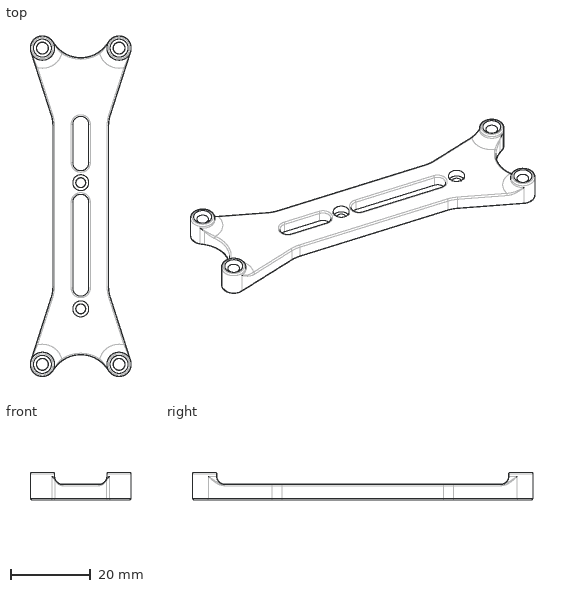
import cadquery as cq
import math

LENGTH = 85.3
WIDTH = 25.3
BOSS_HEIGHT = 7.0
PLATE_THICKNESS = 4.0
EDGE_BREAK = 0.4

TOLERANCE = 0.01

BOSS_DIAMETER = 6.1
BOSS_RADIUS = BOSS_DIAMETER / 2
BOSS_X = WIDTH / 2 - BOSS_RADIUS
BOSS_Y = LENGTH / 2 - BOSS_RADIUS
BOSS_HOLE_DIAMETER = 2.9
BOSS_MOUTH_CHAMFER = 0.8
BOSS_FILLET = 2.0

WAIST_HALF_WIDTH = 7.0
WAIST_CORNER_Y = 21.5
WAIST_BLEND_RADIUS = 8.0
END_CUTOUT_RADIUS = 8.0
END_CUTOUT_BOTTOM_Y = 37.2

SLOT_WIDTH = 4.0
SLOT_FLOOR_Z = 1.0
SLOT_CENTRE_RANGES = [(10.9, 20.5), (-20.5, 1.0)]
SCREW_HOLE_DIAMETER = 2.4
SCREW_COUNTERBORE_DIAMETER = 4.0
SCREW_COUNTERBORE_FLOOR_Z = 2.0
SCREW_HOLE_YS = [5.9, -25.7]

BOSS_CENTRES = [(sx * BOSS_X, sy * BOSS_Y) for sx in (1, -1) for sy in (1, -1)]


def polar(centre, radius, angle):
    """Point at the given radius and angle (radians) around a centre."""
    return (centre[0] + radius * math.cos(angle), centre[1] + radius * math.sin(angle))


def quarter_points():
    """Key points of the outline in the +X +Y quarter, from the waist to the end cutout."""
    boss = (BOSS_X, BOSS_Y)

    dx = BOSS_X - WAIST_HALF_WIDTH
    dy = BOSS_Y - WAIST_CORNER_Y
    flank = math.atan2(dy, dx) - math.asin(BOSS_RADIUS / math.hypot(dx, dy))
    flank_end = polar(boss, BOSS_RADIUS, flank - math.pi / 2)

    turn = math.pi / 2 - flank
    setback = WAIST_BLEND_RADIUS * math.tan(turn / 2)
    corner = (WAIST_HALF_WIDTH, WAIST_CORNER_Y)
    blend_centre = (WAIST_HALF_WIDTH + WAIST_BLEND_RADIUS, WAIST_CORNER_Y - setback)
    blend_start = (WAIST_HALF_WIDTH, blend_centre[1])
    blend_mid = polar(blend_centre, WAIST_BLEND_RADIUS, math.pi - turn / 2)
    blend_end = polar(corner, setback, flank)

    cutout = (0, END_CUTOUT_BOTTOM_Y + END_CUTOUT_RADIUS)
    to_cutout = math.atan2(cutout[1] - BOSS_Y, -BOSS_X)
    centre_distance = math.hypot(BOSS_X, cutout[1] - BOSS_Y)
    lean = math.acos((BOSS_RADIUS + END_CUTOUT_RADIUS) / centre_distance)
    tangent_normal = to_cutout - lean
    boss_end = polar(boss, BOSS_RADIUS, tangent_normal)
    cutout_start = polar(cutout, END_CUTOUT_RADIUS, tangent_normal + math.pi)
    boss_mid = polar(boss, BOSS_RADIUS, (flank - math.pi / 2 + tangent_normal) / 2)
    cutout_bottom = 1.5 * math.pi
    cutout_mid = polar(cutout, END_CUTOUT_RADIUS, (tangent_normal + math.pi + cutout_bottom) / 2)
    return blend_start, blend_mid, blend_end, flank_end, boss_mid, boss_end, cutout_start, cutout_mid


def quarter_outline():
    """Closed outline of the +X +Y quarter: waist, flared flank, boss round and half the end cutout."""
    (
        blend_start,
        blend_mid,
        blend_end,
        flank_end,
        boss_mid,
        boss_end,
        cutout_start,
        cutout_mid,
    ) = quarter_points()
    return (
        cq.Workplane("XY")
        .lineTo(WAIST_HALF_WIDTH, 0)
        .lineTo(*blend_start)
        .threePointArc(blend_mid, blend_end)
        .lineTo(*flank_end)
        .threePointArc(boss_mid, boss_end)
        .lineTo(*cutout_start)
        .threePointArc(cutout_mid, (0, END_CUTOUT_BOTTOM_Y))
        .close()
    )


def flared_boss():
    """+X +Y boss with a concave fillet flaring out onto the plate, trimmed to the outline."""
    flare_radius = BOSS_RADIUS + BOSS_FILLET
    flare_top = PLATE_THICKNESS + BOSS_FILLET
    sag = BOSS_FILLET * (1 - math.sqrt(0.5))
    profile = (
        cq.Workplane("XZ")
        .lineTo(flare_radius, 0)
        .lineTo(flare_radius, PLATE_THICKNESS)
        .threePointArc((BOSS_RADIUS + sag, PLATE_THICKNESS + sag), (BOSS_RADIUS, flare_top))
        .lineTo(BOSS_RADIUS, BOSS_HEIGHT)
        .lineTo(0, BOSS_HEIGHT)
        .close()
    )
    boss = profile.revolve(360, (0, 0, 0), (0, 1, 0)).translate((BOSS_X, BOSS_Y, 0))
    return boss.intersect(quarter_outline().extrude(BOSS_HEIGHT))


def is_on_symmetry_plane(edge):
    """True for edges of the cut faces where the quarters join."""
    box = edge.BoundingBox()
    return box.xmax < TOLERANCE or box.ymax < TOLERANCE


def is_flare_foot(edge):
    """True for the arc where the boss flare runs out onto the plate."""
    return edge.geomType() == "CIRCLE" and abs(edge.radius() - BOSS_RADIUS - BOSS_FILLET) < TOLERANCE


def is_rim_edge(edge):
    """True for the upper wall edges of the plate, including where they climb the boss flare."""
    box = edge.BoundingBox()
    above_wall = box.zmin > PLATE_THICKNESS - TOLERANCE
    below_boss = box.zmin < PLATE_THICKNESS + BOSS_FILLET - TOLERANCE
    return above_wall and below_boss and not is_flare_foot(edge) and not is_on_symmetry_plane(edge)


def quarter_body():
    """The +X +Y quarter of the plate with its boss and broken edges."""
    quarter = quarter_outline().extrude(PLATE_THICKNESS).union(flared_boss())
    rim = [edge for edge in quarter.edges().vals() if is_rim_edge(edge)]
    boss_top = quarter.faces(">Z").edges().vals()
    quarter = cq.Workplane(obj=quarter.val().fillet(EDGE_BREAK, rim + boss_top))
    bottom = [edge for edge in quarter.faces("<Z").edges().vals() if not is_on_symmetry_plane(edge)]
    return cq.Workplane(obj=quarter.val().chamfer(EDGE_BREAK, None, bottom))


def body():
    """Whole plate, mirrored from its quarter."""
    quarter = quarter_body()
    half = quarter.union(quarter.mirror("YZ"))
    return half.union(half.mirror("XZ"))


def cut_slot(part, y_low, y_high):
    """Blind rounded pocket with a rounded rim."""
    pocket = (
        cq.Workplane("XY", origin=(0, (y_low + y_high) / 2, SLOT_FLOOR_Z))
        .slot2D(y_high - y_low + SLOT_WIDTH, SLOT_WIDTH, 90)
        .extrude(BOSS_HEIGHT)
    )
    pocketed = part.cut(pocket)
    reach = SLOT_WIDTH / 2 + TOLERANCE
    rim = cq.selectors.BoxSelector(
        (-reach, y_low - reach, PLATE_THICKNESS - TOLERANCE),
        (reach, y_high + reach, PLATE_THICKNESS + TOLERANCE),
        boundingbox=True,
    )
    return pocketed.edges(rim).fillet(EDGE_BREAK)


def cut_screw_holes(part):
    """Counterbored through holes on the centre line."""
    points = [(0, y) for y in SCREW_HOLE_YS]
    bores = cq.Workplane("XY").pushPoints(points).circle(SCREW_HOLE_DIAMETER / 2).extrude(PLATE_THICKNESS)
    counterbores = (
        cq.Workplane("XY", origin=(0, 0, SCREW_COUNTERBORE_FLOOR_Z))
        .pushPoints(points)
        .circle(SCREW_COUNTERBORE_DIAMETER / 2)
        .extrude(PLATE_THICKNESS)
    )
    return part.cut(bores).cut(counterbores)


def cut_boss_holes(part):
    """Through holes in the bosses with chamfered mouths."""
    bores = cq.Workplane("XY").pushPoints(BOSS_CENTRES).circle(BOSS_HOLE_DIAMETER / 2).extrude(BOSS_HEIGHT)
    drilled = part.cut(bores)
    mouths = [
        edge
        for edge in drilled.faces(">Z").edges().vals()
        if abs(edge.radius() - BOSS_HOLE_DIAMETER / 2) < TOLERANCE
    ]
    return cq.Workplane(obj=drilled.val().chamfer(BOSS_MOUTH_CHAMFER, None, mouths))


result = body()
for y_low, y_high in SLOT_CENTRE_RANGES:
    result = cut_slot(result, y_low, y_high)
result = cut_boss_holes(cut_screw_holes(result))